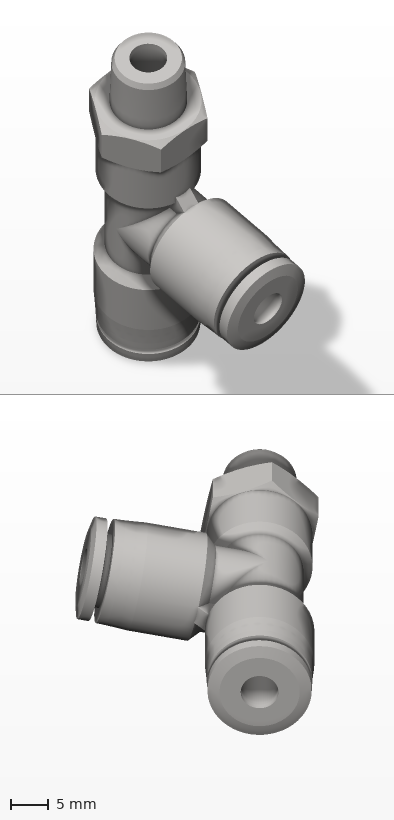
import cadquery as cq
import math


port_reach = 23.8
overall_height = 54.0
thread_top = overall_height - port_reach
bore_diameter = 5.0

core_radius = 5.8

port_radius = 7.25
port_shoulder_start = 7.05
port_shoulder_end = port_shoulder_start + port_radius - core_radius
port_taper_start = 16.6
port_taper_end = 19.6
port_end = 20.9
cap_radius = 7.05
cap_end_radius = 7.0
neck_radius = 9.94 / 2
neck_flare_start = 21.6
neck_flare_radius = 5.3
collar_start = 21.9
collar_radius = 13.8 / 2
collar_rim_end = 23.4
collar_face_radius = 5.3

sleeve_radius = 14.0 / 2
sleeve_cone_start = 6.6
sleeve_cone_end = sleeve_cone_start + sleeve_radius - core_radius
hex_corner_diameter = 16.5
hex_height = 6.0
thread_length = 8.5
hex_top = thread_top - thread_length
hex_bottom = hex_top - hex_height
hex_chamfer_radius = 14.1 / 2
hex_chamfer_angle = math.radians(30)
thread_root_radius = 5.15
thread_tip_radius = 4.9
thread_chamfer_length = 0.8
thread_chamfer_width = 0.45

web_thickness = 2.5
web_reach = port_shoulder_end + port_radius


def revolve_about_z(outline):
    """Revolve (radius, height) points, closed along the Z axis, into a solid."""
    return cq.Workplane("XZ").polyline(outline).close().revolve(360, (0, 0, 0), (0, 1, 0))


def make_port():
    """Push-in port on +Z, from the origin out to its release collar."""
    return revolve_about_z([
        (0, 0),
        (core_radius, 0),
        (core_radius, port_shoulder_start),
        (port_radius, port_shoulder_end),
        (port_radius, port_taper_start),
        (cap_radius, port_taper_end),
        (cap_end_radius, port_end),
        (neck_radius, port_end),
        (neck_radius, neck_flare_start),
        (neck_flare_radius, collar_start),
        (collar_radius, collar_start),
        (collar_radius, collar_rim_end),
        (collar_face_radius, port_reach),
        (0, port_reach),
    ])


def make_threaded_end():
    """Sleeve above the core and the tapered thread blank that rises out of the hexagon."""
    return revolve_about_z([
        (0, 0),
        (core_radius, 0),
        (core_radius, sleeve_cone_start),
        (sleeve_radius, sleeve_cone_end),
        (sleeve_radius, hex_top),
        (thread_root_radius, hex_top),
        (thread_tip_radius, thread_top - thread_chamfer_length),
        (thread_tip_radius - thread_chamfer_width, thread_top),
        (0, thread_top),
    ])


def make_hexagon():
    """Hexagon with corners on the Y axis, its corners chamfered at both ends."""
    prism = (
        cq.Workplane("XY")
        .workplane(offset=hex_bottom)
        .transformed(rotate=(0, 0, 90))
        .polygon(6, hex_corner_diameter)
        .extrude(hex_height)
    )
    corner_radius = hex_corner_diameter / 2
    chamfer_drop = (corner_radius - hex_chamfer_radius) * math.tan(hex_chamfer_angle)
    envelope = revolve_about_z([
        (0, hex_bottom),
        (hex_chamfer_radius, hex_bottom),
        (corner_radius, hex_bottom + chamfer_drop),
        (corner_radius, hex_top - chamfer_drop),
        (hex_chamfer_radius, hex_top),
        (0, hex_top),
    ])
    return prism.intersect(envelope)


def make_webs():
    """Thin plate filling the corners above and below the branch."""
    return (
        cq.Workplane("XZ")
        .polyline([(0, -web_reach), (web_reach, 0), (0, web_reach)])
        .close()
        .extrude(web_thickness / 2, both=True)
    )


def make_bores():
    """Run bore through the full height, with the branch bore opening into it."""
    run = (
        cq.Workplane("XY")
        .workplane(offset=-port_reach)
        .circle(bore_diameter / 2)
        .extrude(overall_height)
    )
    branch = cq.Workplane("YZ").circle(bore_diameter / 2).extrude(port_reach)
    return run.union(branch)


port = make_port()
lower_port = port.rotate((0, 0, 0), (1, 0, 0), 180)
branch_port = port.rotate((0, 0, 0), (0, 1, 0), 90)

body = make_threaded_end()
for piece in (make_hexagon(), lower_port, branch_port, make_webs()):
    body = body.union(piece)

result = body.cut(make_bores())